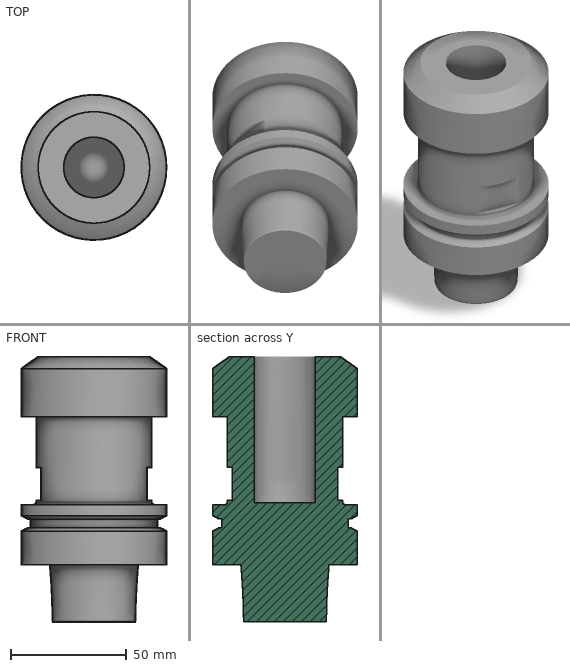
import cadquery as cq
import math

total_height = 115
outer_radius = 31.5
nut_bottom = 88.9
nut_face_radius = 24.2
nut_chamfer_height = 5.2

bore_radius = 13.1
bore_depth = 63.2

neck_radius = 25.1
neck_fillet = 1.2
flat_distance = 23
flat_bottom = 52.9
flat_top = 66.9

flange_bottom = 24.8
flange_top = 51.0
groove_center = 42.8
groove_mouth_width = 6.8
groove_root_width = 3.7
groove_root_radius = 27.6
groove_wall_radius = 28.6

shank_top_radius = 19.2
shank_middle_radius = 18.4
shank_bottom_radius = 18.0
shank_chamfer_height = 0.7
shank_chamfer_width = 0.2


def turned_body():
    """Revolve the half profile, drawn as (radius, height), about Z."""
    groove_mouth_low = groove_center - groove_mouth_width / 2
    groove_mouth_high = groove_center + groove_mouth_width / 2
    groove_low = groove_center - groove_root_width / 2
    groove_high = groove_center + groove_root_width / 2
    shank_middle = (flange_bottom + shank_chamfer_height) / 2
    fillet_reach = neck_fillet * (1 - math.sqrt(0.5))

    return (
        cq.Workplane("XZ")
        .moveTo(0, 0)
        .lineTo(shank_bottom_radius - shank_chamfer_width, 0)
        .lineTo(shank_bottom_radius, shank_chamfer_height)
        .threePointArc((shank_middle_radius, shank_middle), (shank_top_radius, flange_bottom))
        .lineTo(outer_radius, flange_bottom)
        .lineTo(outer_radius, groove_mouth_low)
        .lineTo(groove_wall_radius, groove_low)
        .lineTo(groove_root_radius, groove_low)
        .lineTo(groove_root_radius, groove_high)
        .lineTo(groove_wall_radius, groove_high)
        .lineTo(outer_radius, groove_mouth_high)
        .lineTo(outer_radius, flange_top)
        .lineTo(neck_radius + neck_fillet, flange_top)
        .threePointArc(
            (neck_radius + fillet_reach, flange_top + fillet_reach),
            (neck_radius, flange_top + neck_fillet),
        )
        .lineTo(neck_radius, nut_bottom)
        .lineTo(outer_radius, nut_bottom)
        .lineTo(outer_radius, total_height - nut_chamfer_height)
        .lineTo(nut_face_radius, total_height)
        .lineTo(0, total_height)
        .close()
        .revolve(360, (0, 0), (0, 1))
    )


def wrench_flat_cutter(side):
    """Block that removes the neck beyond one flat; side is -1 or 1 along X."""
    depth = outer_radius - flat_distance
    return (
        cq.Workplane("XY")
        .box(depth, 2 * outer_radius, flat_top - flat_bottom, centered=(True, True, False))
        .translate((side * (flat_distance + depth / 2), 0, flat_bottom))
    )


def clamping_bore():
    """Blind round bore, open at the top face."""
    return (
        cq.Workplane("XY")
        .workplane(offset=total_height - bore_depth)
        .circle(bore_radius)
        .extrude(bore_depth)
    )


result = turned_body().cut(clamping_bore())
for side in (-1, 1):
    result = result.cut(wrench_flat_cutter(side))